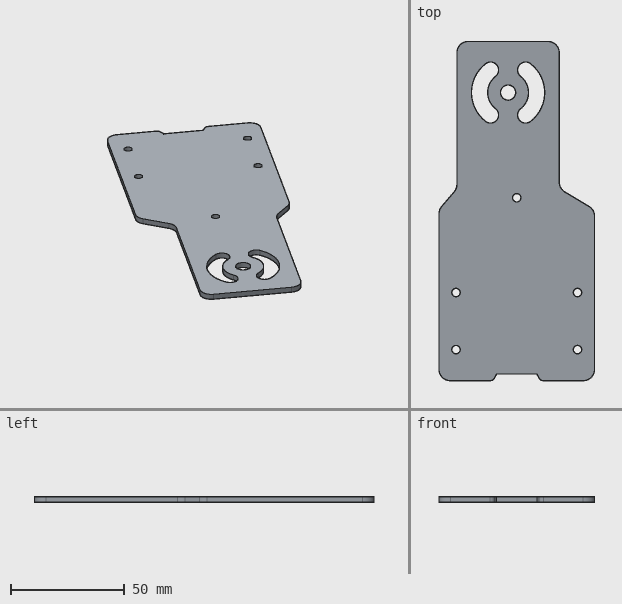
import cadquery as cq
import math

thickness = 2.5
length = 149.2
plate_width = 68.5
corner_radius = 5.0

tab_width = 45.0
tab_left = -plate_width / 2 + 7.9
tab_right = tab_left + tab_width
tab_centre_x = tab_left + tab_width / 2
shoulder_low = 75.2
shoulder_high = 84.5

notch_half_width = 8.8
notch_mouth_half_width = 10.5
notch_mouth_radius = 2.1
notch_depth = 3.0

pivot_y = length - tab_width / 2
pivot_diameter = 6.5
slot_radius = 12.5
slot_width = 7.0
slot_half_angle = 52.0

mount_diameter = 3.6
mount_x = 26.7
mount_rows = (13.7, 38.8)
upper_mount_y = 80.4
mount_points = [(side * mount_x, y) for side in (-1, 1) for y in mount_rows]
mount_points.append((0, upper_mount_y))


def make_plate():
    """Flat outline of the plate and tab, with every corner rounded."""
    edge = plate_width / 2
    plate = (
        cq.Workplane("XY")
        .polyline([
            (-edge, 0),
            (edge, 0),
            (edge, shoulder_low),
            (tab_right, shoulder_high),
            (tab_right, length),
            (tab_left, length),
            (tab_left, shoulder_high),
            (-edge, shoulder_low),
        ])
        .close()
        .extrude(thickness)
    )
    return plate.edges("|Z").fillet(corner_radius)


def cut_notch(plate):
    """Cut the notch from the lower edge and round the corners of its mouth."""
    notch = (
        cq.Workplane("XY")
        .polyline([
            (-notch_mouth_half_width, 0),
            (-notch_half_width, notch_depth),
            (notch_half_width, notch_depth),
            (notch_mouth_half_width, 0),
        ])
        .close()
        .extrude(thickness)
    )
    plate = plate.cut(notch)
    for side in (-1, 1):
        mouth_corner = cq.selectors.NearestToPointSelector(
            (side * notch_mouth_half_width, 0, thickness / 2)
        )
        plate = plate.edges("|Z").edges(mouth_corner).fillet(notch_mouth_radius)
    return plate


def make_slot(direction):
    """Curved slot cutter centred on the given direction, in degrees."""
    def point(radius, angle):
        turn = math.radians(direction + angle)
        return (tab_centre_x + radius * math.cos(turn), pivot_y + radius * math.sin(turn))

    inner = slot_radius - slot_width / 2
    outer = slot_radius + slot_width / 2
    tip_angle = math.degrees(math.atan2(slot_width / 2, slot_radius))
    tip_radius = math.hypot(slot_radius, slot_width / 2)
    end = slot_half_angle
    return (
        cq.Workplane("XY")
        .moveTo(*point(outer, -end))
        .threePointArc(point(outer, 0), point(outer, end))
        .threePointArc(point(tip_radius, end + tip_angle), point(inner, end))
        .threePointArc(point(inner, 0), point(inner, -end))
        .threePointArc(point(tip_radius, -end - tip_angle), point(outer, -end))
        .close()
        .extrude(thickness)
    )


result = cut_notch(make_plate())
for slot_direction in (0, 180):
    result = result.cut(make_slot(slot_direction))

pivot_hole = cq.Workplane("XY").center(tab_centre_x, pivot_y).circle(pivot_diameter / 2).extrude(thickness)
result = result.cut(pivot_hole)

mount_holes = (
    cq.Workplane("XY")
    .pushPoints(mount_points)
    .circle(mount_diameter / 2)
    .extrude(thickness)
)
result = result.cut(mount_holes)